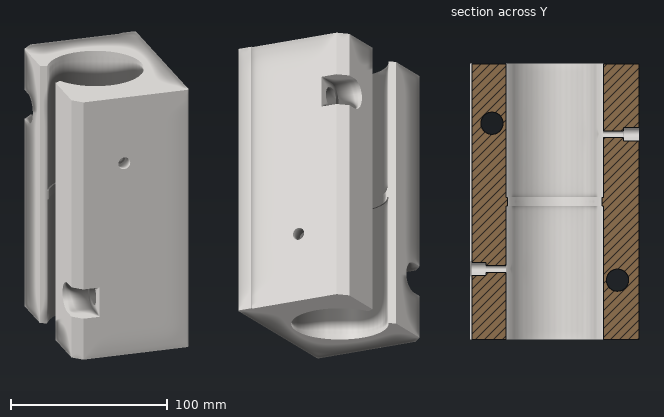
import cadquery as cq
import math

HEIGHT = 176.0
HALF_WIDTH = 54.0
BACK_Y = 45.0
FRONT_Y = -32.0
FRONT_CHAMFER = 6.0
BACK_CHAMFER = 1.0

LEDGE_PROJECTION = 1.0
LEDGE_DEPTH = 10.0

BORE_RADIUS = 31.0
SHOULDER_RADIUS = 30.0
SHOULDER_HEIGHT = 6.0

OPENING_HALF_ANGLE = math.radians(30.0)
MOUTH_WIDTH = 31.5

SCREW_X = 40.0
SCREW_Z_OFFSET = 50.0
SCREW_HOLE_DIAMETER = 13.84
SCREW_SLOT_WIDTH = 20.0
SCREW_SLOT_DEPTH = 17.0

PORT_Y = 1.5
PORT_Z_OFFSET = 43.0
PORT_DIAMETER = 4.13
PORT_COUNTERSINK_DIAMETER = 5.0
PORT_COUNTERBORE_DIAMETER = 8.0
PORT_COUNTERBORE_DEPTH = 10.0

MID_Z = HEIGHT / 2


def make_body():
    """Extruded outline with chamfered corners and the ledge on the -X side."""
    wall_x = LEDGE_PROJECTION - HALF_WIDTH
    return (
        cq.Workplane("XY")
        .moveTo(wall_x + FRONT_CHAMFER, FRONT_Y)
        .lineTo(HALF_WIDTH - FRONT_CHAMFER, FRONT_Y)
        .lineTo(HALF_WIDTH, FRONT_Y + FRONT_CHAMFER)
        .lineTo(HALF_WIDTH, BACK_Y - BACK_CHAMFER)
        .lineTo(HALF_WIDTH - BACK_CHAMFER, BACK_Y)
        .lineTo(-HALF_WIDTH + BACK_CHAMFER, BACK_Y)
        .lineTo(-HALF_WIDTH, BACK_Y - BACK_CHAMFER)
        .lineTo(-HALF_WIDTH, BACK_Y - LEDGE_DEPTH)
        .lineTo(wall_x, BACK_Y - LEDGE_DEPTH)
        .lineTo(wall_x, FRONT_Y + FRONT_CHAMFER)
        .close()
        .extrude(HEIGHT)
    )


def make_bore():
    """Bore cutter, reduced in radius along the shoulder ring."""
    relief_length = (HEIGHT - SHOULDER_HEIGHT) / 2
    bore = cq.Workplane("XY").circle(SHOULDER_RADIUS).extrude(HEIGHT)
    for start_z in (0, HEIGHT - relief_length):
        relief = cq.Workplane("XY", origin=(0, 0, start_z)).circle(BORE_RADIUS).extrude(relief_length)
        bore = bore.union(relief)
    return bore


def make_opening():
    """Wedge cutter with its point inside the bore, widening through the front face."""
    mouth_half_width = MOUTH_WIDTH / 2
    point_y = FRONT_Y + mouth_half_width / math.tan(OPENING_HALF_ANGLE)
    return (
        cq.Workplane("XY")
        .polyline([(0, point_y), (-mouth_half_width, FRONT_Y), (mouth_half_width, FRONT_Y)])
        .close()
        .extrude(HEIGHT)
    )


def make_screw_seat(side):
    """Screw hole with a round-ended slot that runs out through the given X side."""
    x = side * SCREW_X
    z = MID_Z - side * SCREW_Z_OFFSET
    slot_floor_y = FRONT_Y + SCREW_SLOT_DEPTH
    runout = HALF_WIDTH - SCREW_X
    slot_plane = cq.Workplane("XZ", origin=(x, slot_floor_y, z))
    round_end = slot_plane.circle(SCREW_SLOT_WIDTH / 2).extrude(SCREW_SLOT_DEPTH)
    open_end = (
        slot_plane.center(side * runout / 2, 0).rect(runout, SCREW_SLOT_WIDTH).extrude(SCREW_SLOT_DEPTH)
    )
    hole = cq.Workplane("XZ", origin=(x, BACK_Y, z)).circle(SCREW_HOLE_DIAMETER / 2).extrude(BACK_Y - FRONT_Y)
    return hole.union(round_end).union(open_end)


def make_port(side):
    """Port from the given X side into the bore, revolved about its own axis."""
    port_radius = PORT_DIAMETER / 2
    countersink_radius = PORT_COUNTERSINK_DIAMETER / 2
    countersink_depth = countersink_radius - port_radius
    step_x = HALF_WIDTH - PORT_COUNTERBORE_DEPTH
    profile = [
        (0, 0),
        (0, port_radius),
        (step_x - countersink_depth, port_radius),
        (step_x, countersink_radius),
        (step_x, PORT_COUNTERBORE_DIAMETER / 2),
        (HALF_WIDTH, PORT_COUNTERBORE_DIAMETER / 2),
        (HALF_WIDTH, 0),
    ]
    origin = (0, PORT_Y, MID_Z + side * PORT_Z_OFFSET)
    return (
        cq.Workplane(cq.Plane(origin=origin, xDir=(side, 0, 0), normal=(0, 0, 1)))
        .polyline(profile)
        .close()
        .revolve(360, (0, 0, 0), (1, 0, 0))
    )


result = make_body().cut(make_bore()).cut(make_opening())
for x_side in (-1, 1):
    result = result.cut(make_screw_seat(x_side)).cut(make_port(x_side))